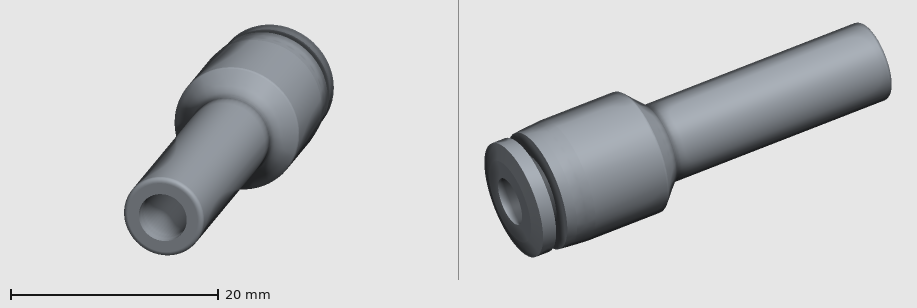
import cadquery as cq

length = 40.0
tip_y = -length / 2
collar_y = length / 2

bore_diameter = 4.8
stem_diameter = 8.0
body_diameter = 12.5
body_shoulder_diameter = 12.2
body_lip_diameter = 12.0
collar_diameter = 11.75
collar_face_diameter = 8.4
neck_diameter = 7.7

collar_bevel_depth = 0.4
collar_depth = 1.85
body_start = 3.0
shoulder_start = 4.05
body_full_start = 5.95
cone_start = 14.0
cone_end = cone_start + (body_diameter - stem_diameter) / 2

stem_tip_radius = 0.5
cone_outer_radius = 0.3
cone_root_radius = 0.5


def revolve_profile(stations):
    """Revolve (diameter, distance from collar face) stations about the Y axis."""
    points = [(diameter / 2, collar_y - distance) for diameter, distance in stations]
    outline = [(0, collar_y)] + points + [(0, points[-1][1])]
    return cq.Workplane("XY").polyline(outline).close().revolve(360, (0, 0, 0), (0, 1, 0))


def circle_edge(diameter, y):
    """Select the circular edge of the given diameter at position y along the axis."""
    margin = 0.05
    reach = diameter / 2 + margin
    return cq.selectors.BoxSelector(
        (-reach, y - margin, -reach), (reach, y + margin, reach), boundingbox=True
    )


fitting = revolve_profile([
    (collar_face_diameter, 0),
    (collar_diameter, collar_bevel_depth),
    (collar_diameter, collar_depth),
    (neck_diameter, collar_depth),
    (neck_diameter, body_start),
    (body_lip_diameter, body_start),
    (body_shoulder_diameter, shoulder_start),
    (body_diameter, body_full_start),
    (body_diameter, cone_start),
    (stem_diameter, cone_end),
    (stem_diameter, length),
])

fitting = fitting.edges(circle_edge(body_diameter, collar_y - cone_start)).fillet(cone_outer_radius)
fitting = fitting.edges(circle_edge(stem_diameter, collar_y - cone_end)).fillet(cone_root_radius)
fitting = fitting.faces("<Y").edges().fillet(stem_tip_radius)

bore = cq.Workplane("XZ", origin=(0, collar_y, 0)).circle(bore_diameter / 2).extrude(collar_y - tip_y)

result = fitting.cut(bore)